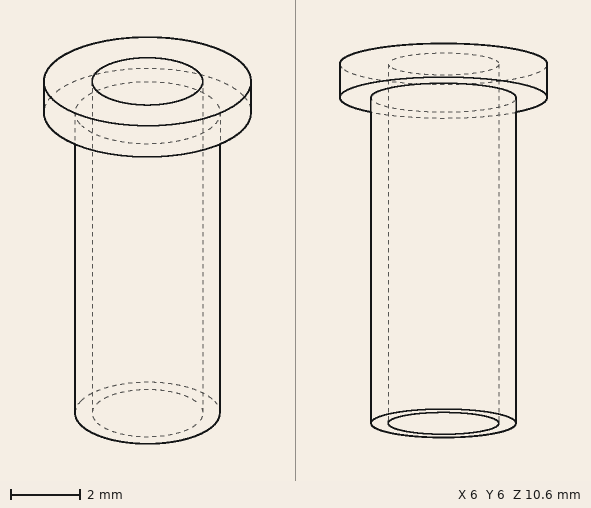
import cadquery as cq

total_height = 10.6
flange_diameter = 6.0
flange_thickness = 1.0
sleeve_diameter = 4.2
bore_diameter = 3.2

sleeve = cq.Workplane("XY").circle(sleeve_diameter / 2).extrude(total_height)

flange = (
    cq.Workplane("XY")
    .workplane(offset=total_height - flange_thickness)
    .circle(flange_diameter / 2)
    .extrude(flange_thickness)
)

bore = cq.Workplane("XY").circle(bore_diameter / 2).extrude(total_height)

result = sleeve.union(flange).cut(bore)